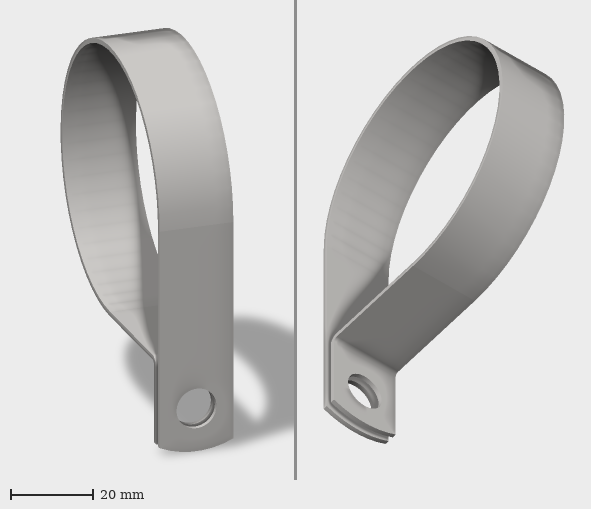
import cadquery as cq

total_height = 94.1
loop_diameter = 70.6
strap_width = 19.1
thickness = 1.2

tab_gap = 1.6
bend_inner_radius = 1.0
tip_rise = 2.1
hole_diameter = 10.35
hole_height = 11.2

outer_radius = loop_diameter / 2
inner_radius = outer_radius - thickness
loop_z = total_height - outer_radius
short_tab_outer_x = inner_radius - tab_gap
short_tab_inner_x = short_tab_outer_x - thickness
bend_outer_radius = bend_inner_radius + thickness
bend_x = short_tab_inner_x - bend_inner_radius
floor_bottom_z = loop_z - outer_radius
floor_top_z = floor_bottom_z + thickness
bend_z = floor_bottom_z - bend_inner_radius
half_width = strap_width / 2


def make_strap():
    """Bent strap: straight long tab, three-quarter loop, floor and short tab."""
    diagonal = 0.5 ** 0.5
    profile = (
        cq.Workplane("XZ")
        .moveTo(outer_radius, 0)
        .lineTo(outer_radius, loop_z)
        .threePointArc(
            (-outer_radius * diagonal, loop_z + outer_radius * diagonal), (0, floor_bottom_z)
        )
        .lineTo(bend_x, floor_bottom_z)
        .threePointArc(
            (bend_x + bend_inner_radius * diagonal, bend_z + bend_inner_radius * diagonal),
            (short_tab_inner_x, bend_z),
        )
        .lineTo(short_tab_inner_x, 0)
        .lineTo(short_tab_outer_x, 0)
        .lineTo(short_tab_outer_x, bend_z)
        .threePointArc(
            (bend_x + bend_outer_radius * diagonal, bend_z + bend_outer_radius * diagonal),
            (bend_x, floor_top_z),
        )
        .lineTo(0, floor_top_z)
        .threePointArc(
            (-inner_radius * diagonal, loop_z + inner_radius * diagonal), (inner_radius, loop_z)
        )
        .lineTo(inner_radius, 0)
        .close()
    )
    return profile.extrude(half_width, both=True)


def make_side_outline():
    """Block with the strap's side outline, rounded across the tab tips."""
    return (
        cq.Workplane("YZ")
        .moveTo(-half_width, tip_rise)
        .threePointArc((0, 0), (half_width, tip_rise))
        .lineTo(half_width, total_height)
        .lineTo(-half_width, total_height)
        .close()
        .extrude(loop_diameter, both=True)
    )


def make_bolt_hole():
    """Cylinder along X that pierces both tabs."""
    return (
        cq.Workplane("YZ")
        .center(0, hole_height)
        .circle(hole_diameter / 2)
        .extrude(loop_diameter)
    )


result = make_strap().intersect(make_side_outline()).cut(make_bolt_hole())